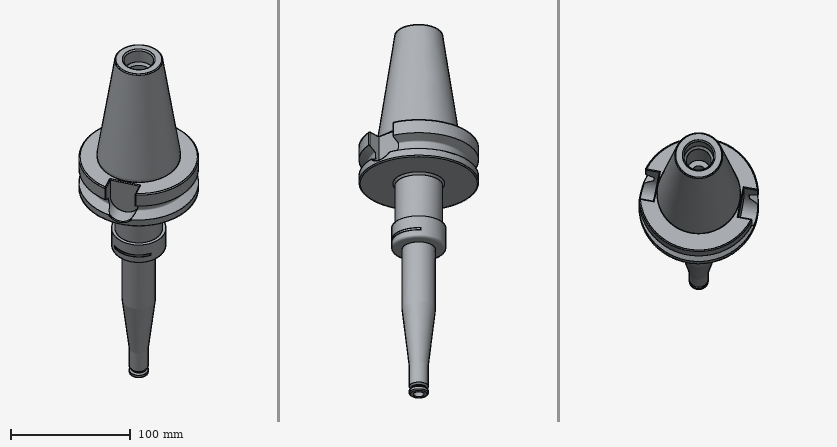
import cadquery as cq
import math


gauge_radius = 69.85 / 2
taper_length = 101.8
taper_ratio = 7 / 24
taper_end_radius = gauge_radius - taper_length * taper_ratio / 2
taper_end_chamfer_radius = 38.38 / 2
taper_end_chamfer = taper_end_radius - taper_end_chamfer_radius

neck_end_z = -2.4
neck_relief = 0.5

flange_radius = 50.0
flange_top_z = -3.0
flange_bottom_z = -38.0
flange_chamfer = 1.0
rim_edge_chamfer = 1.0
groove_radius = 42.5
groove_centre_z = -23.3
groove_half_floor = 3.1
groove_fillet = 1.0
groove_flank_angle = 30
flank_height = (flange_radius - groove_radius) * math.tan(math.radians(groove_flank_angle))
floor_top_z = groove_centre_z + groove_half_floor
floor_bottom_z = groove_centre_z - groove_half_floor
rim_bottom_z = floor_top_z + flank_height
land_top_z = floor_bottom_z - flank_height

slot_width = 25.7
slot_bottom_z = -34.6
slot_floor_y = 36.1
slot_edge_chamfer = 0.8

body_radius = 40 / 2
body_collar_radius = 43.3 / 2
body_collar_height = 2.0
nut_radius = 45.5 / 2
nut_top_z = -80.0
nut_bottom_z = -100.0
nut_fillet = 2.2

mark_top_z = -91.0
mark_bottom_z = -93.0
mark_half_width = 16.0
mark_depth = 0.3

shank_radius = 28 / 2
shank_end_z = -156.5
tip_radius = 16 / 2
tip_start_z = -209.5
tip_end_z = -236.0
tip_chamfer = 1.0
tip_groove_radius = 13 / 2
tip_groove_top_z = -228.7
tip_groove_bottom_z = -232.7

bore_mouth_radius = 27.5 / 2
counterbore_radius = 25 / 2
counterbore_depth = 13.0
thread_bore_radius = 20.75 / 2
thread_bore_depth = 45.0
coolant_bore_radius = 11 / 2
tip_hole_radius = 9 / 2

selection_margin = 0.1


def revolve(points):
    return cq.Workplane("XZ").polyline(points).close().revolve(360, (0, 0, 0), (0, 1, 0))


def turned_body():
    tip_groove_depth = tip_radius - tip_groove_radius
    return revolve([
        (0, taper_length),
        (taper_end_chamfer_radius, taper_length),
        (taper_end_radius, taper_length - taper_end_chamfer),
        (gauge_radius, 0),
        (gauge_radius, neck_end_z),
        (gauge_radius - neck_relief, flange_top_z),
        (flange_radius - rim_edge_chamfer, flange_top_z),
        (flange_radius, flange_top_z - rim_edge_chamfer),
        (flange_radius, rim_bottom_z),
        (groove_radius, floor_top_z),
        (groove_radius, floor_bottom_z),
        (flange_radius, land_top_z),
        (flange_radius, flange_bottom_z + flange_chamfer),
        (flange_radius - flange_chamfer, flange_bottom_z),
        (body_collar_radius, flange_bottom_z),
        (body_radius, flange_bottom_z - body_collar_height),
        (body_radius, nut_top_z),
        (nut_radius, nut_top_z),
        (nut_radius, nut_bottom_z),
        (shank_radius, nut_bottom_z),
        (shank_radius, shank_end_z),
        (tip_radius, tip_start_z),
        (tip_radius, tip_groove_top_z),
        (tip_groove_radius, tip_groove_top_z - tip_groove_depth),
        (tip_groove_radius, tip_groove_bottom_z + tip_groove_depth),
        (tip_radius, tip_groove_bottom_z),
        (tip_radius, tip_end_z + tip_chamfer),
        (tip_radius - tip_chamfer, tip_end_z),
        (0, tip_end_z),
    ])


def bore():
    mouth_depth = bore_mouth_radius - counterbore_radius
    cone_bottom = taper_length - counterbore_depth - (counterbore_radius - thread_bore_radius)
    thread_floor = taper_length - thread_bore_depth
    return revolve([
        (0, taper_length),
        (bore_mouth_radius, taper_length),
        (counterbore_radius, taper_length - mouth_depth),
        (counterbore_radius, taper_length - counterbore_depth),
        (thread_bore_radius, cone_bottom),
        (thread_bore_radius, thread_floor),
        (coolant_bore_radius, thread_floor),
        (coolant_bore_radius, tip_start_z),
        (tip_hole_radius, tip_start_z),
        (tip_hole_radius, tip_end_z),
        (0, tip_end_z),
    ])


def key_slot(side):
    half = slot_width / 2
    profile = (
        cq.Workplane("XZ", origin=(0, side * slot_floor_y, 0))
        .moveTo(-half, flange_top_z)
        .lineTo(-half, slot_bottom_z + half)
        .threePointArc((0, slot_bottom_z), (half, slot_bottom_z + half))
        .lineTo(half, flange_top_z)
        .close()
    )
    return profile.extrude(-side * flange_radius)


def slot_edges(side, highest_z, lowest_z, nearest_y):
    """Selects the slot edges between two heights and farther out in Y than nearest_y."""
    half = slot_width / 2 + selection_margin
    return cq.selectors.BoxSelector(
        (-half, side * (nearest_y - selection_margin), highest_z + selection_margin),
        (half, side * (flange_radius + selection_margin), lowest_z - selection_margin),
        boundingbox=True,
    )


def nut_mark():
    height = mark_top_z - mark_bottom_z
    ring = (
        cq.Workplane("XY", origin=(0, 0, mark_bottom_z))
        .circle(nut_radius)
        .circle(nut_radius - mark_depth)
        .extrude(height)
    )
    sector = (
        cq.Workplane("XY", origin=(0, -nut_radius / 2, mark_bottom_z))
        .rect(2 * mark_half_width, nut_radius)
        .extrude(height)
    )
    return ring.intersect(sector)


def ring_edge(radius, z):
    """Selects the circular edges at height z up to the given radius."""
    reach = radius + selection_margin
    return cq.selectors.BoxSelector(
        (-reach, -reach, z - selection_margin),
        (reach, reach, z + selection_margin),
        boundingbox=True,
    )


result = turned_body()
for floor_edge_z in (floor_top_z, floor_bottom_z):
    result = result.edges(ring_edge(groove_radius, floor_edge_z)).fillet(groove_fillet)
nut_outer_edge = ring_edge(nut_radius, nut_bottom_z) - ring_edge(shank_radius, nut_bottom_z)
result = result.edges(nut_outer_edge).fillet(nut_fillet)
result = result.cut(bore())

slot_edge_y = math.sqrt(flange_radius**2 - (slot_width / 2) ** 2)
for side in (-1, 1):
    result = result.cut(key_slot(side))
    rim_edges = slot_edges(side, flange_top_z, rim_bottom_z, slot_floor_y)
    land_edges = slot_edges(side, land_top_z, flange_bottom_z, slot_edge_y)
    result = result.edges(rim_edges).chamfer(slot_edge_chamfer)
    result = result.edges(land_edges).chamfer(slot_edge_chamfer)

result = result.cut(nut_mark())